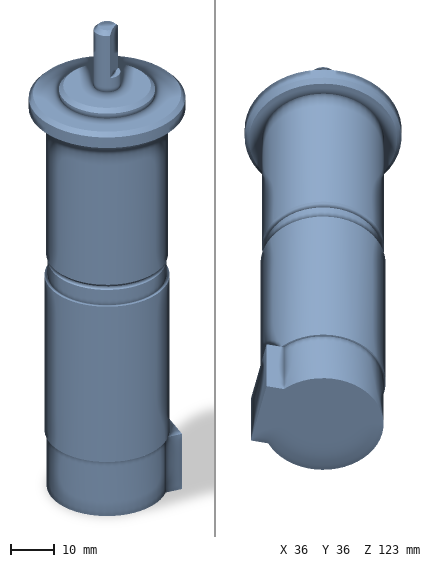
import cadquery as cq

ENCODER_TOP = 14.8
MOTOR_SHOULDER = 56.3
MOTOR_TOP = 61.0
FLANGE_BOTTOM = 100.0
FLANGE_TOP = 104.8
BOSS_TOP = 107.0
SHAFT_TOP = 123.0

ENCODER_RADIUS = 13.9
MOTOR_RADIUS = 14.4
MOTOR_NECK_RADIUS = 13.7
GEARBOX_RADIUS = 14.0
FLANGE_RADIUS = 18.02
BOSS_RADIUS = 11.1
SHAFT_RADIUS = 3.1

RIM_CHAMFER = 1.0
GEARBOX_CHAMFER = 1.0
NECK_CHAMFER = 0.6

FLAT_DISTANCE = 1.7
FLAT_LENGTH = 12.3
FLAT_DIRECTION = 45.0

SHAFT_SEAT_DEPTH = 6.2

CONNECTOR_WIDTH = 16.9
CONNECTOR_REACH = 15.1


def cylinder(radius, bottom, top):
    """Solid cylinder on the Z axis between two heights."""
    return cq.Workplane("XY").workplane(offset=bottom).circle(radius).extrude(top - bottom)


def make_encoder():
    """Round end cap with a connector block on its +Y side."""
    cap = cylinder(ENCODER_RADIUS, 0, ENCODER_TOP)
    connector = cq.Workplane("XY").box(
        CONNECTOR_WIDTH, CONNECTOR_REACH, ENCODER_TOP, centered=(True, False, False)
    )
    return cap.union(connector)


def make_motor():
    """Motor tube with a narrower chamfered neck on top."""
    tube = cylinder(MOTOR_RADIUS, ENCODER_TOP, MOTOR_SHOULDER)
    neck = cylinder(MOTOR_NECK_RADIUS, MOTOR_SHOULDER, MOTOR_TOP)
    neck = neck.faces(">Z").chamfer(NECK_CHAMFER)
    return tube.union(neck)


def make_gearbox():
    """Gearbox housing with mounting flange, centring boss and shaft seat."""
    barrel = cylinder(GEARBOX_RADIUS, MOTOR_TOP, FLANGE_BOTTOM)
    barrel = barrel.faces("<Z").chamfer(GEARBOX_CHAMFER)
    flange = cylinder(FLANGE_RADIUS, FLANGE_BOTTOM, FLANGE_TOP)
    flange = flange.faces("<Z or >Z").chamfer(RIM_CHAMFER)
    boss = cylinder(BOSS_RADIUS, FLANGE_TOP, BOSS_TOP)
    boss = boss.faces(">Z").chamfer(RIM_CHAMFER)
    seat = cylinder(SHAFT_RADIUS, BOSS_TOP - SHAFT_SEAT_DEPTH, BOSS_TOP)
    return barrel.union(flange).union(boss).cut(seat)


def make_shaft():
    """Output shaft with a chamfered tip and a flat along its upper part."""
    shaft = cylinder(SHAFT_RADIUS, BOSS_TOP - SHAFT_SEAT_DEPTH, SHAFT_TOP)
    shaft = shaft.faces(">Z").chamfer(RIM_CHAMFER)
    flat_cutter = (
        cq.Workplane("XY")
        .box(SHAFT_RADIUS, 2 * SHAFT_RADIUS, FLAT_LENGTH, centered=(False, True, False))
        .translate((FLAT_DISTANCE, 0, SHAFT_TOP - FLAT_LENGTH))
        .rotate((0, 0, 0), (0, 0, 1), FLAT_DIRECTION)
    )
    return shaft.cut(flat_cutter)


encoder = make_encoder()
motor = make_motor()
gearbox = make_gearbox()
shaft = make_shaft()

result = cq.Compound.makeCompound([encoder.val(), motor.val(), gearbox.val(), shaft.val()])